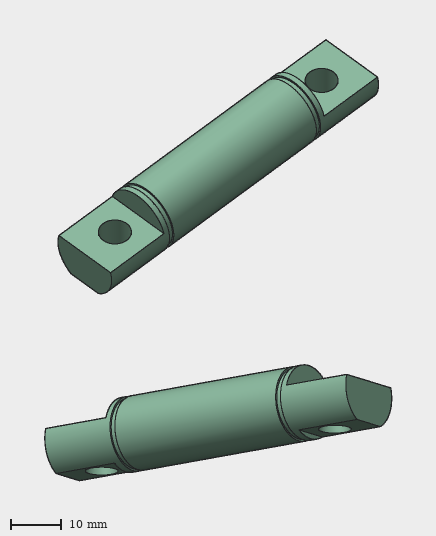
import cadquery as cq

length = 75.0
diameter = 15.0
radius = diameter / 2

top_flat_length = 15.0
top_flat_height = 2.1
bottom_flat_length = 14.5
bottom_flat_height = -6.45

hole_diameter = 6.5
hole_end_distance = 8.5

groove_width = 1.2
groove_diameter = 14.25
groove_end_distance = 16.3


def shaft():
    """Plain round bar along Y."""
    return cq.Workplane("XZ", origin=(0, length / 2, 0)).circle(radius).extrude(length)


def end_block(end, block_length, bottom, top):
    """Box across the whole shaft width, reaching inward from one end."""
    return (
        cq.Workplane("XY")
        .box(diameter, block_length, top - bottom)
        .translate((0, end * (length - block_length) / 2, (top + bottom) / 2))
    )


def groove(end):
    """Ring of material removed for a retaining ring."""
    centre = length / 2 - groove_end_distance - groove_width / 2
    return (
        cq.Workplane("XZ", origin=(0, end * centre + groove_width / 2, 0))
        .circle(radius)
        .circle(groove_diameter / 2)
        .extrude(groove_width)
    )


def cross_hole(end):
    """Vertical cylinder through one flattened end."""
    return (
        cq.Workplane("XY", origin=(0, end * (length / 2 - hole_end_distance), -radius))
        .circle(hole_diameter / 2)
        .extrude(diameter)
    )


result = shaft()
for end in (-1, 1):
    result = (
        result
        .cut(end_block(end, top_flat_length, top_flat_height, radius))
        .cut(end_block(end, bottom_flat_length, -radius, bottom_flat_height))
        .cut(groove(end))
        .cut(cross_hole(end))
    )